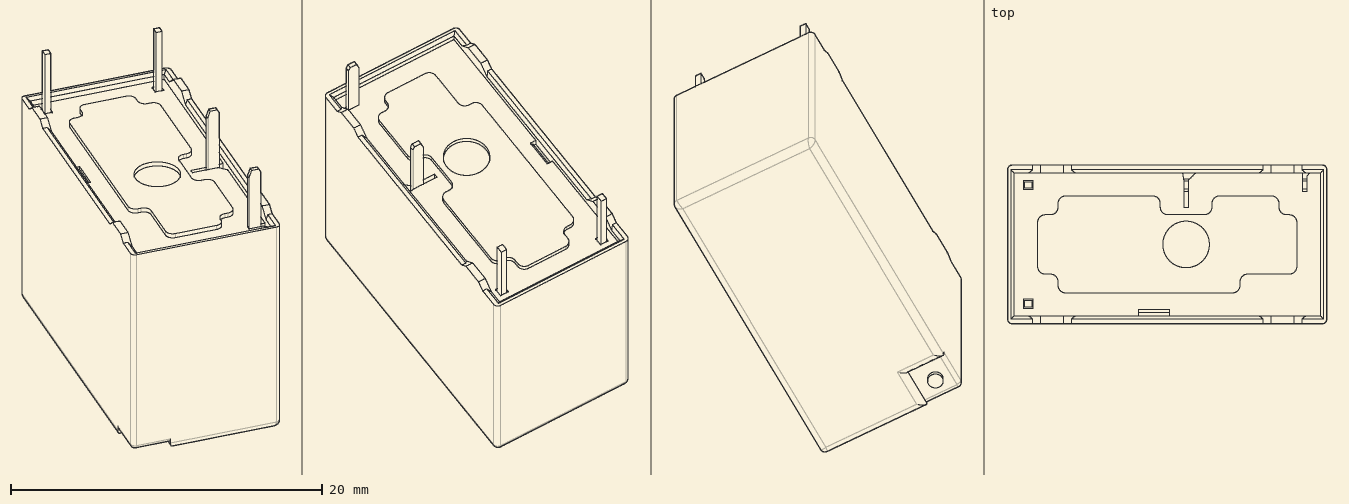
import cadquery as cq


LENGTH = 20.5
WIDTH = 10.2
RIM_Z = 15.27
END_WALL = 0.4
SIDE_WALL = 0.51
FLOOR = 1.0
CORNER_RADIUS = 0.3
BOTTOM_RADIUS = 0.5
LEAD_IN = 0.2
CAVITY_LENGTH = LENGTH - 2 * END_WALL
CAVITY_WIDTH = WIDTH - 2 * SIDE_WALL

TAB_X = 7.4
TAB_FLAT = 1.5
TAB_HEIGHT = 0.4
TAB_SLOPE_RUN = 1.2

NOTCH_SIZE = 2.62
NOTCH_DEPTH = 0.51
NOTCH_X = (LENGTH - NOTCH_SIZE) / 2
NOTCH_Y = -(WIDTH - NOTCH_SIZE) / 2
NOTCH_EDGE_RADIUS = 0.29
PICK_MARGIN = 0.02
GATE_DIAMETER = 1.0
GATE_HEIGHT = 0.3

BASE_TOP = 14.7
PLATEAU_HEIGHT = 0.3
PLATEAU_RADIUS = 0.5
PLATEAU_END_X = 8.32
PLATEAU_END_Y = 1.9
PLATEAU_SIDE_Y = 3.12
PLATEAU_LEFT_X = -7.01
PLATEAU_BACK_RIGHT_X = 7.18
PLATEAU_FRONT_RIGHT_X = 4.67
RELIEF_LEFT_X = -0.45
RELIEF_RIGHT_X = 2.87
DIMPLE_DIAMETER = 3.0

EDGE_RECESS_X = -0.86
EDGE_RECESS_LENGTH = 1.99
EDGE_RECESS_STEPS = [(0.4, 0.2), (0.23, 0.4)]

COIL_X = -8.92
COIL_Y = 3.81
COIL_SIZE_X = 0.5
COIL_SIZE_Y = 0.4
COIL_TOP = 19.15
COIL_HOLE = 0.6
TERMINAL_DEPTH = 0.82
TERMINAL_FOOT = BASE_TOP - TERMINAL_DEPTH

MIDDLE_CONTACT_X = 1.2
END_CONTACT_X = 8.84
CONTACT_Y = 3.8
CONTACT_THICKNESS = 0.29
CONTACT_WIDTH = 0.82
CONTACT_TOP = 19.09
TIP_FRONT_BEVEL = (0.18, 0.51)
TIP_BACK_BEVEL = (0.15, 0.25)
COINED_RADIUS = 0.06
MIDDLE_SLOT_FRONT_Y = 2.35
CONTACT_BACK_Y = CONTACT_Y + CONTACT_WIDTH / 2
CONTACT_FRONT_Y = CONTACT_Y - CONTACT_WIDTH / 2

MIDDLE_MOUTH_LEFT = 0.08
MIDDLE_MOUTH_RIGHT = 0.47
MIDDLE_MOUTH_DEPTH = 0.47
END_MOUTH_RIGHT = 0.18
END_MOUTH_DEPTH = 0.18


def box(x0, x1, y0, y1, z0, z1):
    """Box given by its limits along each axis."""
    return cq.Workplane("XY").box(x1 - x0, y1 - y0, z1 - z0, centered=False).translate((x0, y0, z0))


def centred_box(x, y, size_x, size_y, z0, z1):
    """Box given by its centre in plan and its limits along Z."""
    return box(x - size_x / 2, x + size_x / 2, y - size_y / 2, y + size_y / 2, z0, z1)


def tab_profile(x):
    """Trapezoid prism across the full width, its slopes running down to the foot of the lead-in."""
    foot = RIM_Z - LEAD_IN
    top = RIM_Z + TAB_HEIGHT
    half_top = TAB_FLAT / 2
    half_foot = half_top + TAB_SLOPE_RUN * (top - foot)
    return (
        cq.Workplane("XZ", origin=(x, 0, 0))
        .polyline([(-half_foot, foot), (half_foot, foot), (half_top, top), (-half_top, top)])
        .close()
        .extrude(WIDTH / 2, both=True)
    )


def notch_ceiling_corners():
    """Opposite corners of a box around the centres of the notch's outer ceiling edges only."""
    inner = NOTCH_SIZE / 2 - CORNER_RADIUS
    return (
        (NOTCH_X - inner, -WIDTH / 2 - PICK_MARGIN, NOTCH_DEPTH - PICK_MARGIN),
        (LENGTH / 2 + PICK_MARGIN, NOTCH_Y + inner, NOTCH_DEPTH + PICK_MARGIN),
    )


def make_cover():
    shell = centred_box(0, 0, LENGTH, WIDTH, 0, RIM_Z).edges("|Z").fillet(CORNER_RADIUS)

    notch = centred_box(NOTCH_X, NOTCH_Y, NOTCH_SIZE, NOTCH_SIZE, 0, NOTCH_DEPTH)
    shell = shell.cut(notch)
    shell = shell.edges(cq.selectors.BoxSelector(*notch_ceiling_corners())).fillet(NOTCH_EDGE_RADIUS)
    shell = shell.faces("<Z").edges().fillet(BOTTOM_RADIUS)
    gate = (
        cq.Workplane("XY", origin=(NOTCH_X, NOTCH_Y, NOTCH_DEPTH - GATE_HEIGHT))
        .circle(GATE_DIAMETER / 2)
        .extrude(GATE_HEIGHT)
    )
    shell = shell.union(gate)

    cavity = centred_box(0, 0, CAVITY_LENGTH, CAVITY_WIDTH, FLOOR, RIM_Z + TAB_HEIGHT)
    mouth = (
        cq.Workplane("XY", origin=(0, 0, RIM_Z))
        .rect(CAVITY_LENGTH + 2 * LEAD_IN, CAVITY_WIDTH + 2 * LEAD_IN)
        .workplane(offset=-LEAD_IN)
        .rect(CAVITY_LENGTH, CAVITY_WIDTH)
        .loft(ruled=True)
    )
    shell = shell.cut(mouth)
    for x in (-TAB_X, TAB_X):
        shell = shell.union(tab_profile(x))
    return shell.cut(cavity)


def make_plateau():
    outline = [
        (-PLATEAU_END_X, -PLATEAU_END_Y),
        (PLATEAU_LEFT_X, -PLATEAU_END_Y),
        (PLATEAU_LEFT_X, -PLATEAU_SIDE_Y),
        (PLATEAU_FRONT_RIGHT_X, -PLATEAU_SIDE_Y),
        (PLATEAU_FRONT_RIGHT_X, -PLATEAU_END_Y),
        (PLATEAU_END_X, -PLATEAU_END_Y),
        (PLATEAU_END_X, PLATEAU_END_Y),
        (PLATEAU_BACK_RIGHT_X, PLATEAU_END_Y),
        (PLATEAU_BACK_RIGHT_X, PLATEAU_SIDE_Y),
        (RELIEF_RIGHT_X, PLATEAU_SIDE_Y),
        (RELIEF_RIGHT_X, PLATEAU_END_Y),
        (RELIEF_LEFT_X, PLATEAU_END_Y),
        (RELIEF_LEFT_X, PLATEAU_SIDE_Y),
        (PLATEAU_LEFT_X, PLATEAU_SIDE_Y),
        (PLATEAU_LEFT_X, PLATEAU_END_Y),
        (-PLATEAU_END_X, PLATEAU_END_Y),
    ]
    plateau = (
        cq.Workplane("XY", origin=(0, 0, BASE_TOP))
        .polyline(outline)
        .close()
        .extrude(PLATEAU_HEIGHT)
        .edges("|Z")
        .fillet(PLATEAU_RADIUS)
    )
    dimple = (
        cq.Workplane("XY", origin=(MIDDLE_CONTACT_X, 0, BASE_TOP))
        .circle(DIMPLE_DIAMETER / 2)
        .extrude(PLATEAU_HEIGHT)
    )
    return plateau.cut(dimple)


def contact_slot(x, front_y, mouth_left, mouth_right, mouth_depth):
    """Slot for a contact, open at the back edge of the base through a flared mouth."""
    back = CAVITY_WIDTH / 2
    half = CONTACT_THICKNESS / 2
    slot = box(x - half, x + half, front_y, back, TERMINAL_FOOT, BASE_TOP)
    mouth = (
        cq.Workplane("XY", origin=(x, back, TERMINAL_FOOT))
        .polyline(
            [
                (-half - mouth_left, 0),
                (half + mouth_right, 0),
                (half, -mouth_depth),
                (-half, -mouth_depth),
            ]
        )
        .close()
        .extrude(TERMINAL_DEPTH)
    )
    return slot.union(mouth)


def make_base():
    base = centred_box(0, 0, CAVITY_LENGTH, CAVITY_WIDTH, FLOOR, BASE_TOP).union(make_plateau())
    for y in (-COIL_Y, COIL_Y):
        base = base.cut(centred_box(COIL_X, y, COIL_HOLE, COIL_HOLE, TERMINAL_FOOT, BASE_TOP))
    base = base.cut(
        contact_slot(
            MIDDLE_CONTACT_X, MIDDLE_SLOT_FRONT_Y, MIDDLE_MOUTH_LEFT, MIDDLE_MOUTH_RIGHT, MIDDLE_MOUTH_DEPTH
        )
    )
    base = base.cut(contact_slot(END_CONTACT_X, CONTACT_FRONT_Y, 0, END_MOUTH_RIGHT, END_MOUTH_DEPTH))

    front = -CAVITY_WIDTH / 2
    left = EDGE_RECESS_X - EDGE_RECESS_LENGTH / 2
    right = EDGE_RECESS_X + EDGE_RECESS_LENGTH / 2
    for reach, depth in EDGE_RECESS_STEPS:
        base = base.cut(box(left, right, front, front + reach, BASE_TOP - depth, BASE_TOP))
    return base


def make_coil_terminal(y):
    return centred_box(COIL_X, y, COIL_SIZE_X, COIL_SIZE_Y, TERMINAL_FOOT, COIL_TOP)


def make_contact(x, coined=False):
    """Flat blade with a bevelled tip; a coined one also has two opposite long edges rounded."""
    front_width, front_height = TIP_FRONT_BEVEL
    back_width, back_height = TIP_BACK_BEVEL
    blade = (
        cq.Workplane("YZ", origin=(x, 0, 0))
        .polyline(
            [
                (CONTACT_FRONT_Y, TERMINAL_FOOT),
                (CONTACT_BACK_Y, TERMINAL_FOOT),
                (CONTACT_BACK_Y, CONTACT_TOP - back_height),
                (CONTACT_BACK_Y - back_width, CONTACT_TOP),
                (CONTACT_FRONT_Y + front_width, CONTACT_TOP),
                (CONTACT_FRONT_Y, CONTACT_TOP - front_height),
            ]
        )
        .close()
        .extrude(CONTACT_THICKNESS / 2, both=True)
    )
    if coined:
        for long_edge in ("|Z and <X and >Y", "|Z and >X and <Y"):
            blade = blade.edges(long_edge).fillet(COINED_RADIUS)
    return blade


cover = make_cover()
base = make_base()
coil_terminals = [make_coil_terminal(y) for y in (-COIL_Y, COIL_Y)]
contacts = [make_contact(MIDDLE_CONTACT_X, coined=True), make_contact(END_CONTACT_X)]

result = cq.Compound.makeCompound(
    [
        cover.val(),
        base.val(),
        *[terminal.val() for terminal in coil_terminals],
        *[contact.val() for contact in contacts],
    ]
)